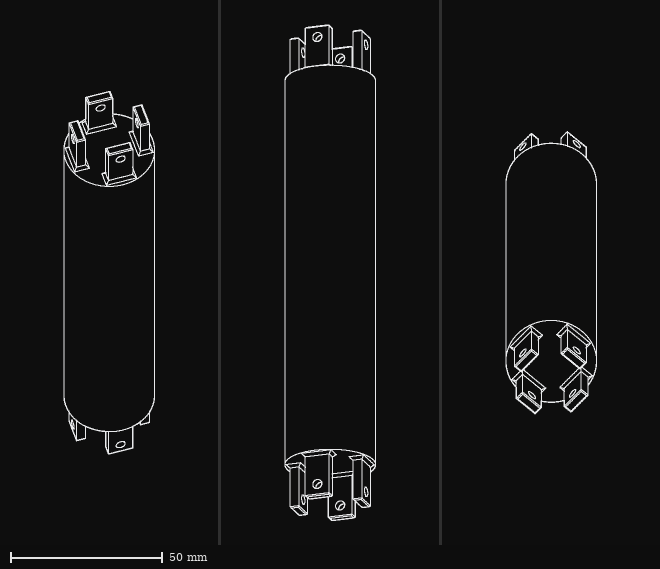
import cadquery as cq

overall_length = 165.0
body_diameter = 30.0
blade_length = 15.0
blade_width = 8.4
blade_thickness = 3.1
blade_offset = 11.0
blade_count = 4
root_chamfer = 1.0
tip_chamfer = 0.4
hole_diameter = 3.1
hole_to_tip = 4.0

body_length = overall_length - 2 * blade_length
body_end = body_length / 2
blade_overlap = 1.6


def make_blade():
    """Terminal blade on the +X side of the upper end face, its flat faces normal to X."""
    blade = (
        cq.Workplane("XY", origin=(blade_offset, 0, body_end - blade_overlap))
        .rect(blade_thickness, blade_width)
        .extrude(blade_length + blade_overlap)
        .faces(">Z")
        .chamfer(tip_chamfer)
    )
    collar = (
        cq.Workplane("XY", origin=(blade_offset, 0, body_end))
        .rect(blade_thickness + 2 * root_chamfer, blade_width + 2 * root_chamfer)
        .workplane(offset=root_chamfer)
        .rect(blade_thickness, blade_width)
        .loft(ruled=True)
    )
    hole = (
        cq.Workplane("YZ", origin=(0, 0, overall_length / 2 - hole_to_tip))
        .circle(hole_diameter / 2)
        .extrude(blade_offset + blade_thickness)
    )
    return blade.union(collar).cut(hole)


result = cq.Workplane("XY").cylinder(body_length, body_diameter / 2)

upper_blade = make_blade()
lower_blade = upper_blade.mirror("XY")
for index in range(blade_count):
    angle = index * 360 / blade_count
    for end_blade in (upper_blade, lower_blade):
        result = result.union(end_blade.rotate((0, 0, 0), (0, 0, 1), angle))